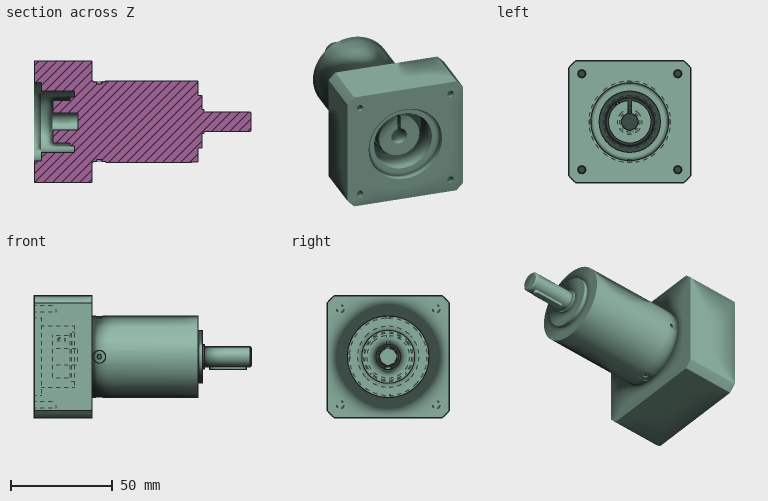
import cadquery as cq


flange_width = 60.0
flange_length = 28.4
flange_corner_diameter = 80.0

body_diameter = 40.0
body_end = 80.4
pilot_diameter = 26.0
pilot_end = 82.4
collar_diameter = 12.0
collar_end = 83.5
shaft_diameter = 10.0
shaft_end = 106.5
shaft_chamfer = 0.6

key_length = 18.0
key_width = 3.0
key_start = 86.0
key_top_radius = 6.3

motor_pilot_diameter = 38.1
motor_pilot_depth = 3.5
socket_diameter = 30.0
socket_depth = 19.7

hub_face = 9.0
hub_diameter = 20.9
hub_base_start = 17.6
hub_base_diameter = 24.3
hub_base_chamfer = 0.6
hub_bore_diameter = 8.1
hub_bore_depth = 21.3
hub_slot_width = 1.7
hub_relief_top = 7.7
hub_relief_end = 18.6

clamp_head_diameter = 5.5
clamp_head_top = 9.5
clamp_head_end = 6.9
clamp_head_length = 3.2
clamp_head_chamfer = 0.5

mount_hole_spacing = 47.1
mount_hole_diameter = 3.3
mount_hole_mouth_diameter = 3.9
mount_hole_mouth_depth = 0.1
mount_hole_depth = 10.6

plug_position = 32.0
plug_diameter = 6.2
plug_face_radius = 19.7
plug_socket_corners = 2.3
plug_socket_depth = 1.1


def rod(diameter, start, end):
    """Cylinder on the X axis between two X positions."""
    return cq.Workplane("YZ").workplane(offset=start).circle(diameter / 2).extrude(end - start)


def make_flange():
    square = cq.Workplane("YZ").rect(flange_width, flange_width).extrude(flange_length)
    return square.intersect(rod(flange_corner_diameter, 0, flange_length))


def make_output_end():
    shaft = rod(shaft_diameter, collar_end, shaft_end).faces(">X").chamfer(shaft_chamfer)
    body = rod(body_diameter, flange_length, body_end)
    pilot = rod(pilot_diameter, body_end, pilot_end)
    collar = rod(collar_diameter, pilot_end, collar_end)
    return body.union(pilot).union(collar).union(shaft)


def make_key():
    return (
        cq.Workplane("XY")
        .center(key_start + key_length / 2, 0)
        .slot2D(key_length, key_width)
        .extrude(-key_top_radius)
    )


def make_motor_socket():
    return rod(motor_pilot_diameter, 0, motor_pilot_depth).union(rod(socket_diameter, 0, socket_depth))


def make_clamp_head():
    head_x = (hub_face + hub_base_start) / 2
    head_z = clamp_head_top - clamp_head_diameter / 2
    return (
        cq.Workplane("XZ", origin=(head_x, clamp_head_end, head_z))
        .circle(clamp_head_diameter / 2)
        .extrude(clamp_head_length)
        .faces(">Y")
        .chamfer(clamp_head_chamfer)
    )


def make_hub_slot():
    """Slot from the bore out through the collar, with a deeper relief in the base beside the bore."""

    def slot_block(height, end):
        block = cq.Workplane("XY").box(
            end - hub_face, hub_slot_width, height, centered=(False, True, False)
        )
        return block.translate((hub_face, 0, 0))

    return slot_block(hub_diameter, hub_base_start).union(slot_block(hub_relief_top, hub_relief_end))


def make_hub():
    base = rod(hub_base_diameter, hub_base_start, socket_depth).faces("<X").chamfer(hub_base_chamfer)
    collar = rod(hub_diameter, hub_face, hub_base_start)
    return base.union(collar).union(make_clamp_head()).cut(make_hub_slot())


def make_mount_holes():
    face = cq.Workplane("YZ").rect(mount_hole_spacing, mount_hole_spacing, forConstruction=True)
    centres = face.vertices()
    mouths = centres.circle(mount_hole_mouth_diameter / 2).extrude(mount_hole_mouth_depth)
    holes = centres.circle(mount_hole_diameter / 2).extrude(mount_hole_depth)
    return mouths.union(holes)


def make_plug_recess():
    """Recess down to the plug face on the +Z side, with the hexagon socket below it."""
    face = cq.Workplane("XY", origin=(plug_position, 0, plug_face_radius))
    recess = face.circle(plug_diameter / 2).extrude(body_diameter / 2 - plug_face_radius)
    return recess.union(face.polygon(6, plug_socket_corners).extrude(-plug_socket_depth))


result = make_flange().union(make_output_end()).union(make_key())
result = result.cut(make_motor_socket()).union(make_hub())
result = result.cut(rod(hub_bore_diameter, 0, hub_bore_depth))
result = result.cut(make_mount_holes())
for angle in (0, 90, 180, 270):
    result = result.cut(make_plug_recess().rotate((0, 0, 0), (1, 0, 0), angle))